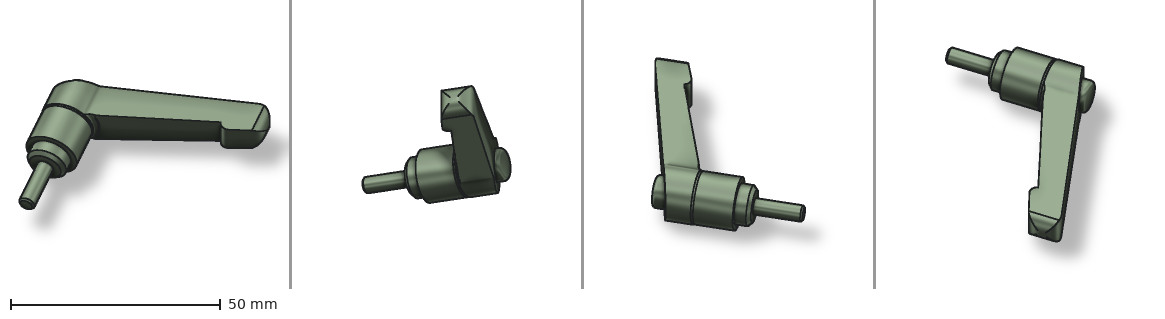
import cadquery as cq
import math

stud_radius = 2.0
stud_chamfer = 0.45
collar_start = 12.0
collar_radius = 5.0
collar_chamfer = 1.0
hub_start = 15.95
hub_radius = 6.5
seam_start = 25.65
seam_radius = 6.45
head_start = 26.2
head_radius = 6.6
button_radius = 4.0
button_top = 36.5
button_round = 1.0

tip_x = 51.6 - head_radius
lever_top = 46.05
top_angle = math.radians(16)
tip_round = 3.1
tip_flat_end = 42.05
nose_x = 42.55
nose_bottom = 38.1
underside_slope = 0.36
nose_slope = 0.375
underside_end = (34.85, 37.35)
bump_low_point = (35.8, 36.15)
bump_end_x = 37.25

root_half_width = 5.0
nose_half_width = 3.65
arm_inner_x = 2.6
root_fillet = 2.05
root_x = math.sqrt((head_radius + root_fillet) ** 2 - (root_half_width + root_fillet) ** 2)

ridge_start = 6.7
ridge_root_depth = 0.3
ridge_end_depth = 0.05
ridge_overlap = 0.5
flare_radius = 7.85
flare_height = 1.05
flare_middle = (7.0, 26.85)

plan_depth = 51.6


def underside_y(x):
    return underside_end[1] + underside_slope * (x - underside_end[0])


def half_width(x):
    taper = (root_half_width - nose_half_width) / (nose_x - root_x)
    return root_half_width - taper * (x - root_x)


def cylinder(radius, start, end):
    return cq.Workplane("XZ", origin=(0, start, 0)).circle(radius).extrude(start - end)


def make_profile():
    round_x = tip_x - tip_round
    round_y = lever_top - tip_round
    tangent_x = round_x - tip_round * math.sin(top_angle)
    tangent_y = round_y + tip_round * math.cos(top_angle)
    back_y = tangent_y - (tangent_x + head_radius) * math.tan(top_angle)
    bump_end_y = nose_bottom - nose_slope * (nose_x - bump_end_x)
    return (
        cq.Workplane("XY", origin=(0, 0, -head_radius))
        .moveTo(-head_radius, head_start)
        .lineTo(-head_radius, back_y)
        .lineTo(tangent_x, tangent_y)
        .tangentArcPoint((tip_x, round_y), relative=False)
        .lineTo(tip_x, tip_flat_end)
        .tangentArcPoint((nose_x, nose_bottom), relative=False)
        .lineTo(bump_end_x, bump_end_y)
        .threePointArc(bump_low_point, underside_end)
        .lineTo(head_radius, underside_y(head_radius))
        .lineTo(head_radius, head_start)
        .close()
        .extrude(2 * head_radius)
    )


def make_arm_plan(start):
    fillet_z = root_half_width + root_fillet
    scale = head_radius / (head_radius + root_fillet)
    touch_x = root_x * scale
    touch_z = fillet_z * scale
    touch_angle = math.atan2(touch_z - fillet_z, touch_x - root_x)
    mid_angle = (touch_angle - math.pi / 2) / 2
    mid_x = root_x + root_fillet * math.cos(mid_angle)
    mid_z = fillet_z + root_fillet * math.sin(mid_angle)
    return (
        cq.Workplane("XZ", origin=(0, start, 0))
        .moveTo(arm_inner_x, -touch_z)
        .lineTo(touch_x, -touch_z)
        .threePointArc((mid_x, -mid_z), (root_x, -root_half_width))
        .lineTo(nose_x, -nose_half_width)
        .threePointArc((tip_x, 0), (nose_x, nose_half_width))
        .lineTo(root_x, root_half_width)
        .threePointArc((mid_x, mid_z), (touch_x, touch_z))
        .lineTo(arm_inner_x, touch_z)
        .close()
        .extrude(-plan_depth)
    )


def ridge_section(x, depth):
    y = underside_y(x)
    z = half_width(x)
    top = y + ridge_overlap
    points = [(x, top, -z), (x, y, -z), (x, y - depth, 0), (x, y, z), (x, top, z)]
    return cq.Wire.makePolygon([cq.Vector(*p) for p in points], close=True)


def make_ridge():
    root = ridge_section(ridge_start, ridge_root_depth)
    end = ridge_section(underside_end[0], ridge_end_depth)
    return cq.Workplane(cq.Solid.makeLoft([root, end], True))


def make_flare():
    height = head_start + flare_height
    return (
        cq.Workplane(cq.Plane((0, 0, 0), xDir=(-1, 0, 0), normal=(0, 0, -1)))
        .moveTo(0, head_start)
        .lineTo(head_radius, head_start)
        .threePointArc(flare_middle, (flare_radius, height))
        .lineTo(0, height)
        .close()
        .revolve(360, (0, 0), (0, 1))
    )


def make_lever():
    arm = make_arm_plan(head_start + flare_height)
    flare = make_flare().intersect(make_arm_plan(head_start))
    head = cylinder(head_radius, head_start, plan_depth)
    lever = make_profile().intersect(arm.union(head))
    return lever.union(make_ridge()).union(flare)


stud = cylinder(stud_radius, 0, collar_start).faces("<Y").chamfer(stud_chamfer)
collar = cylinder(collar_radius, collar_start, hub_start).faces("<Y").chamfer(collar_chamfer)
hub = cylinder(hub_radius, hub_start, seam_start)
seam = cylinder(seam_radius, seam_start, head_start)
button = cylinder(button_radius, head_start, button_top).faces(">Y").edges().fillet(button_round)

result = make_lever().union(button).union(seam).union(hub).union(collar).union(stud)